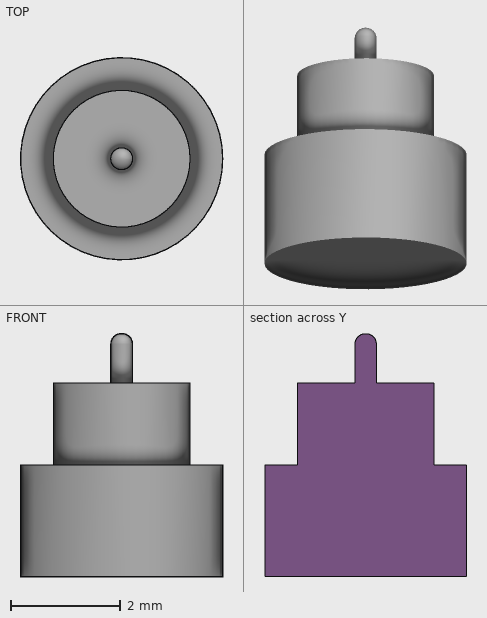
import cadquery as cq

BASE_DIAMETER = 3.7
BASE_HEIGHT = 2.05
COLLAR_DIAMETER = 2.5
COLLAR_HEIGHT = 1.5
INSULATOR_DIAMETER = 1.95
PIN_DIAMETER = 0.4
PIN_HEIGHT = 0.9
PIN_TIP_RADIUS = 0.19

COLLAR_TOP = BASE_HEIGHT + COLLAR_HEIGHT


def cylinder(diameter, height, bottom):
    """Upright cylinder on the Z axis, starting at the given level."""
    return cq.Workplane("XY").workplane(offset=bottom).circle(diameter / 2).extrude(height)


def make_shell():
    """Stepped outer body with a bore through the collar for the insulator."""
    base = cylinder(BASE_DIAMETER, BASE_HEIGHT, 0)
    collar = cylinder(COLLAR_DIAMETER, COLLAR_HEIGHT, BASE_HEIGHT)
    bore = cylinder(INSULATOR_DIAMETER, COLLAR_HEIGHT, BASE_HEIGHT)
    return base.union(collar).cut(bore)


def make_insulator():
    """Disc that fills the collar bore, flush with the collar top."""
    return cylinder(INSULATOR_DIAMETER, COLLAR_HEIGHT, BASE_HEIGHT)


def make_pin():
    """Centre contact with a rounded tip."""
    pin = cylinder(PIN_DIAMETER, PIN_HEIGHT, COLLAR_TOP)
    return pin.faces(">Z").edges().fillet(PIN_TIP_RADIUS)


result = make_shell().union(make_insulator(), clean=False).union(make_pin(), clean=False)